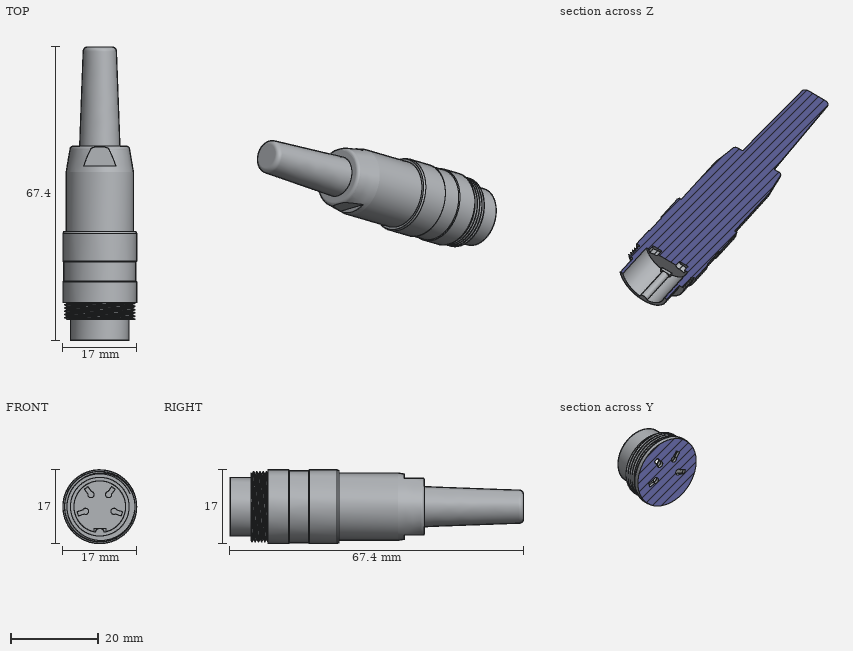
import cadquery as cq
import math

total_length = 67.4

thread_front = 4.85
collar_front = 8.7
groove_front = 13.7
groove_rear = 18.0
collar_rear = 25.1
taper_start = 38.6
flat_start = 40.05
body_rear = 44.6

sleeve_radius = 13.5 / 2
bore_radius = 5.9
collar_radius = 17.0 / 2
grip_radius = 16.6 / 2
body_radius = 15.5 / 2
taper_end_radius = 6.9
cable_base_radius = 4.65
cable_tip_radius = 3.85

body_round = 0.8
cable_round = 1.1
collar_chamfer_width = 0.2
collar_chamfer_length = 0.55
groove_chamfer = 0.2

flat_height = 6.55

thread_pitch = 0.75
thread_root_radius = 7.55
thread_crest_radius = 8.1
thread_flank_width = 0.7
thread_crest_width = 0.1
thread_sink = 0.15

bore_depth = 9.1
key_radius = 1.0
key_block_width = 2.75
key_block_length = 0.7
key_top = -5.0

contact_step = 72
contact_angles = [-90 + contact_step * place for place in range(1, 5)]
contact_circle_radius = 3.45
contact_diameter = 1.4
slot_outer_radius = 5.3
slot_width = 1.0
contact_depth = 1.35


def along_y(radius, start, end):
    """Solid cylinder on the connector axis between two stations."""
    return cq.Workplane("XZ", origin=(0, start, 0)).circle(radius).extrude(start - end)


def make_body():
    """Turned outline of the whole connector; points are (radius, station)."""
    diagonal = math.sqrt(0.5)
    body_arc_start = body_rear - body_round
    cable_arc_start = total_length - cable_round
    body_arc_middle = (
        taper_end_radius - body_round * (1 - diagonal),
        body_arc_start + body_round * diagonal,
    )
    cable_arc_middle = (
        cable_tip_radius - cable_round * (1 - diagonal),
        cable_arc_start + cable_round * diagonal,
    )
    groove_step = collar_radius - grip_radius
    outline = (
        cq.Workplane("XY")
        .lineTo(sleeve_radius, 0)
        .lineTo(sleeve_radius, thread_front)
        .lineTo(thread_root_radius, thread_front)
        .lineTo(thread_root_radius, collar_front)
        .lineTo(collar_radius, collar_front)
        .lineTo(collar_radius, groove_front - groove_chamfer)
        .line(-groove_step, groove_chamfer)
        .lineTo(grip_radius, groove_rear)
        .line(groove_step, groove_chamfer)
        .lineTo(collar_radius, collar_rear - collar_chamfer_length)
        .line(-collar_chamfer_width, collar_chamfer_length)
        .lineTo(body_radius, collar_rear)
        .lineTo(body_radius, taper_start)
        .lineTo(taper_end_radius, body_arc_start)
        .threePointArc(body_arc_middle, (taper_end_radius - body_round, body_rear))
        .lineTo(cable_base_radius, body_rear)
        .lineTo(cable_tip_radius, cable_arc_start)
        .threePointArc(cable_arc_middle, (cable_tip_radius - cable_round, total_length))
        .lineTo(0, total_length)
        .close()
    )
    return outline.revolve(360, (0, 0, 0), (0, 1, 0))


def make_flat_cutters():
    """Blocks that leave flats above and below the tapered rear end."""
    thickness = body_radius
    block = cq.Workplane("XY").box(
        2 * body_radius, body_rear - flat_start, thickness, centered=(True, False, False)
    )
    upper = block.translate((0, flat_start, flat_height))
    return upper.union(upper.mirror("XY"))


def make_thread():
    """Right-handed V ridge, trimmed to the threaded length."""
    helix_start = thread_front - thread_pitch
    helix_length = collar_front - thread_front + 2 * thread_pitch
    helix = cq.Wire.makeHelix(thread_pitch, helix_length, thread_root_radius)
    foot_radius = thread_root_radius - thread_sink
    half_width = thread_flank_width / 2
    half_crest = thread_crest_width / 2
    ridge = (
        cq.Workplane("XZ")
        .polyline(
            [
                (foot_radius, -half_width),
                (thread_crest_radius, -half_crest),
                (thread_crest_radius, half_crest),
                (foot_radius, half_width),
            ]
        )
        .close()
        .sweep(cq.Workplane(obj=helix), isFrenet=True)
        .rotate((0, 0, 0), (1, 0, 0), -90)
        .translate((0, helix_start, 0))
    )
    return ridge.intersect(along_y(collar_radius, thread_front, collar_front))


def make_key():
    """Polarising key with a round top, widening to a square block at the bore floor."""
    key_foot = -(bore_radius + sleeve_radius) / 2
    key_middle = (key_top + key_foot) / 2
    rail = (
        cq.Workplane("XZ")
        .moveTo(-key_radius, key_foot)
        .lineTo(-key_radius, key_top - key_radius)
        .threePointArc((0, key_top), (key_radius, key_top - key_radius))
        .lineTo(key_radius, key_foot)
        .close()
        .extrude(-bore_depth)
    )
    block = (
        cq.Workplane("XZ", origin=(0, bore_depth - key_block_length, 0))
        .center(0, key_middle)
        .rect(key_block_width, key_top - key_foot)
        .extrude(-key_block_length)
    )
    return rail.union(block)


def make_contact_hole(angle):
    """Round contact hole with a slot running outwards from it."""
    slot_length = slot_outer_radius - contact_circle_radius
    floor = cq.Workplane("XZ", origin=(0, bore_depth, 0))
    hole = floor.center(contact_circle_radius, 0).circle(contact_diameter / 2).extrude(-contact_depth)
    slot = (
        floor.center(contact_circle_radius + slot_length / 2, 0)
        .rect(slot_length, slot_width)
        .extrude(-contact_depth)
    )
    return hole.union(slot).rotate((0, 0, 0), (0, 1, 0), -angle)


result = make_body().cut(make_flat_cutters())
result = result.union(make_thread())
result = result.cut(along_y(bore_radius, 0, bore_depth))
result = result.union(make_key())
for contact_angle in contact_angles:
    result = result.cut(make_contact_hole(contact_angle))